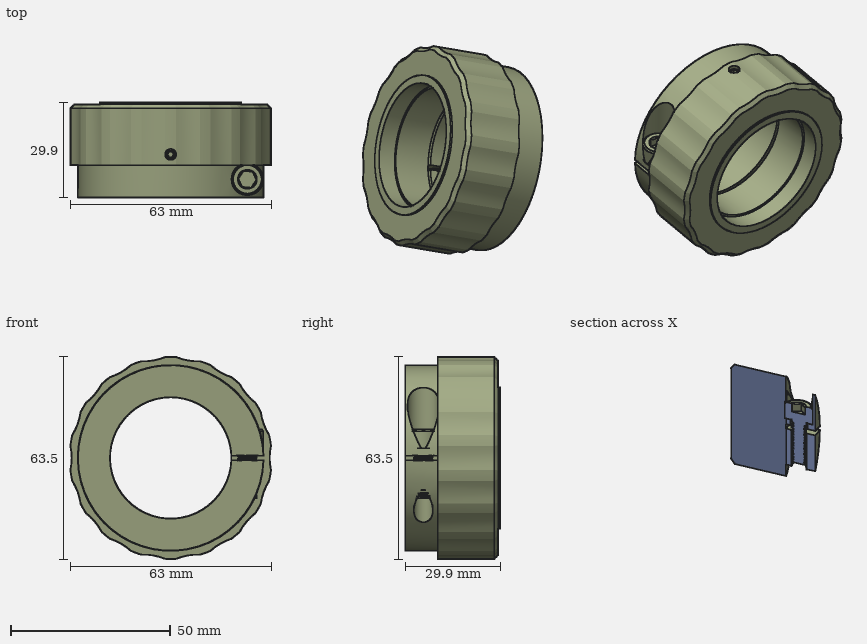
import cadquery as cq
import math


clamp_exposed = 10.15
knob_length = 19.05
tube_protrusion = 0.65
knob_back = clamp_exposed + knob_length
tube_back = knob_back + tube_protrusion

bore_diameter = 38.05
clamp_diameter = 58.35
clamp_length = 11.2
clamp_chamfer = 0.1
slot_width = 1.45

tube_diameter = 44.45
tube_front = 12.05
tube_counterbore_diameter = 39.4
tube_counterbore_depth = 5.8

knob_diameter = 63.5
lobe_count = 18
lobe_width = 3.4
groove_floor_radius = 31.1
knob_chamfer = 1.3

cap_screw_x = 24.05
cap_screw_y = 5.7
head_diameter = 10.0
head_top_z = 8.95
head_height = 6.0
head_chamfer = 0.5
shank_diameter = 6.0
shank_clearance_diameter = 6.6
shank_length = 15.55
cap_socket_across_flats = 5.0
cap_socket_depth = 3.0
cap_socket_turn = -5.0
cap_socket_rim_diameter = 6.0
thread_pitch = 1.0
thread_root_diameter = 4.7
thread_groove_width = 0.9
thread_overcut = 0.05
head_seat_z = head_top_z - head_height
shank_end_z = head_seat_z - shank_length

set_screw_y = 13.5
set_screw_diameter = 3.4
set_screw_recess = 1.35
set_socket_across_flats = 2.35
set_socket_floor_across_flats = 1.7
set_socket_depth = 1.3
set_screw_top_z = knob_diameter / 2 - set_screw_recess


def axial_cylinder(diameter, start, end):
    """Cylinder about the Y axis between two stations."""
    radius = diameter / 2
    base = cq.Vector(0, start, 0)
    return cq.Workplane(cq.Solid.makeCylinder(radius, end - start, base, cq.Vector(0, 1, 0)))


def vertical_cylinder(diameter, x, y, bottom, top):
    """Cylinder along Z between two heights."""
    return cq.Workplane(cq.Solid.makeCylinder(diameter / 2, top - bottom, cq.Vector(x, y, bottom)))


def hexagon_across_corners(across_flats):
    return across_flats / math.cos(math.pi / 6)


def polar_point(radius, angle):
    return radius * math.cos(angle), radius * math.sin(angle)


def make_clamp():
    clamp = axial_cylinder(clamp_diameter, 0, clamp_exposed).faces("<Y").edges().chamfer(clamp_chamfer)
    clamp = clamp.union(axial_cylinder(tube_diameter, clamp_exposed, clamp_length))
    clamp = clamp.cut(axial_cylinder(bore_diameter, 0, clamp_length))
    slot = cq.Workplane().box(clamp_diameter, clamp_length, slot_width, centered=(False, False, True))
    clamp = clamp.cut(slot)
    head_pocket = vertical_cylinder(head_diameter, cap_screw_x, cap_screw_y, head_seat_z, clamp_diameter / 2)
    clearance = vertical_cylinder(shank_clearance_diameter, cap_screw_x, cap_screw_y, 0, head_seat_z)
    tapped_hole = vertical_cylinder(shank_diameter, cap_screw_x, cap_screw_y, -clamp_diameter / 2, 0)
    return clamp.cut(head_pocket).cut(clearance).cut(tapped_hole)


def knob_outline():
    """Closed profile of equal convex lobes joined by shallow concave grooves."""
    radius = knob_diameter / 2
    pitch_angle = 2 * math.pi / lobe_count
    half_lobe = math.asin(lobe_width / knob_diameter)
    outline = cq.Workplane("XZ", origin=(0, knob_back, 0))
    outline = outline.moveTo(*polar_point(radius, pitch_angle / 2 - half_lobe))
    for index in range(lobe_count):
        lobe = (index + 0.5) * pitch_angle
        outline = outline.threePointArc(polar_point(radius, lobe), polar_point(radius, lobe + half_lobe))
        outline = outline.threePointArc(
            polar_point(groove_floor_radius, lobe + pitch_angle / 2),
            polar_point(radius, lobe + pitch_angle - half_lobe),
        )
    return outline.close()


def make_knob():
    knob = knob_outline().extrude(knob_length).faces(">Y").edges().chamfer(knob_chamfer)
    knob = knob.cut(axial_cylinder(tube_diameter, clamp_exposed, knob_back))
    head_relief = vertical_cylinder(head_diameter, cap_screw_x, cap_screw_y, head_seat_z, head_top_z)
    knob = knob.cut(head_relief)
    screw_hole = vertical_cylinder(set_screw_diameter, 0, set_screw_y, 0, knob_diameter / 2)
    return knob.cut(screw_hole)


def make_tube():
    tube = axial_cylinder(tube_diameter, tube_front, tube_back)
    tube = tube.cut(axial_cylinder(bore_diameter, tube_front, tube_back))
    counterbore_start = tube_back - tube_counterbore_depth
    return tube.cut(axial_cylinder(tube_counterbore_diameter, counterbore_start, tube_back))


def thread_groove():
    """Helical V groove from the tip of the shank to one pitch below the head."""
    root_radius = thread_root_diameter / 2
    crest_radius = shank_diameter / 2
    length = shank_length - thread_pitch
    helix = cq.Wire.makeHelix(thread_pitch, length, crest_radius)
    mouth_radius = crest_radius + thread_overcut
    half_width = thread_groove_width / 2
    return (
        cq.Workplane("XZ")
        .polyline([(root_radius, 0), (mouth_radius, half_width), (mouth_radius, -half_width)])
        .close()
        .sweep(cq.Workplane(helix), isFrenet=True)
        .translate((cap_screw_x, cap_screw_y, shank_end_z))
    )


def make_cap_screw():
    head = vertical_cylinder(head_diameter, cap_screw_x, cap_screw_y, head_seat_z, head_top_z)
    head = head.faces(">Z").edges().chamfer(head_chamfer)
    socket = (
        cq.Workplane(origin=(cap_screw_x, cap_screw_y, head_top_z))
        .transformed(rotate=(0, 0, cap_socket_turn))
        .polygon(6, hexagon_across_corners(cap_socket_across_flats))
        .extrude(-cap_socket_depth)
    )
    countersink_depth = (cap_socket_rim_diameter - cap_socket_across_flats) / 2
    countersink = cq.Solid.makeCone(
        cap_socket_across_flats / 2,
        cap_socket_rim_diameter / 2,
        countersink_depth,
        cq.Vector(cap_screw_x, cap_screw_y, head_top_z - countersink_depth),
    )
    head = head.cut(socket).cut(cq.Workplane(countersink))
    shank = vertical_cylinder(shank_diameter, cap_screw_x, cap_screw_y, shank_end_z, head_seat_z)
    return head.union(shank.cut(thread_groove()))


def make_set_screw():
    screw = vertical_cylinder(set_screw_diameter, 0, set_screw_y, tube_diameter / 2, set_screw_top_z)
    socket = (
        cq.Workplane(origin=(0, set_screw_y, set_screw_top_z))
        .polygon(6, hexagon_across_corners(set_socket_across_flats))
        .workplane(offset=-set_socket_depth)
        .polygon(6, hexagon_across_corners(set_socket_floor_across_flats))
        .loft()
    )
    return screw.cut(socket)


clamp = make_clamp()
knob = make_knob()
tube = make_tube()
cap_screw = make_cap_screw()
set_screw = make_set_screw()

result = cq.Compound.makeCompound(
    [clamp.val(), knob.val(), tube.val(), cap_screw.val(), set_screw.val()]
)